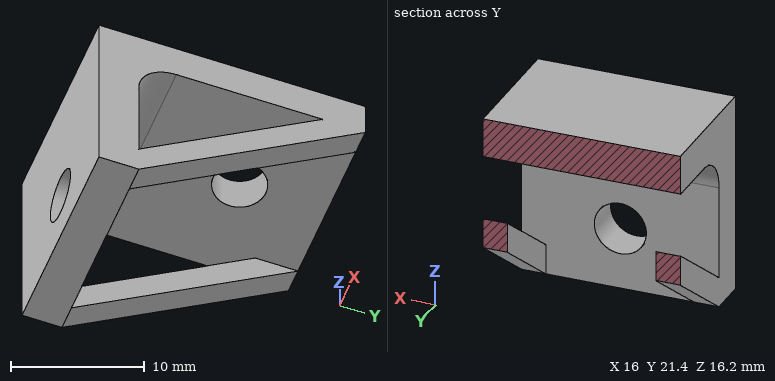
import cadquery as cq
import math

width = 16.0
depth = 21.35
height = 16.2

plate_thickness = 3.2
strut_thickness = 2.0
strut_width = 2.0
inner_corner_radius = 3.0

hole_diameter = 4.2
front_hole_height = 5.0
top_hole_setback = 7.0

plate_underside = height - plate_thickness
strut_slope = plate_underside / (depth - plate_thickness)
strut_rise = strut_thickness * math.hypot(1, strut_slope)
window_back = depth - strut_rise / strut_slope


def extrude_profile(points, length):
    """Extrude a closed (Y, Z) outline along X, centred on the bracket."""
    profile = cq.Workplane("YZ").polyline(points).close()
    return profile.extrude(length / 2, both=True)


def make_opening(points, length):
    """Triangular opening under the plates, rounded where the plates meet."""
    opening = extrude_profile(points, length)
    plate_corner = opening.faces(">Z").edges("<Y")
    return plate_corner.fillet(inner_corner_radius)


def make_body():
    """Both plates with the wedge between them filled down to the slope."""
    outline = [
        (0, 0),
        (plate_thickness, 0),
        (depth, plate_underside),
        (depth, height),
        (0, height),
    ]
    return extrude_profile(outline, width)


def make_window():
    """Opening across the full width that leaves the sloping strut."""
    outline = [
        (plate_thickness, strut_rise),
        (window_back, plate_underside),
        (plate_thickness, plate_underside),
    ]
    return make_opening(outline, width)


def make_strut_gap():
    """Opening between the side struts, down to the slope."""
    outline = [
        (plate_thickness, 0),
        (depth, plate_underside),
        (plate_thickness, plate_underside),
    ]
    return make_opening(outline, width - 2 * strut_width)


def make_front_hole():
    """Hole along Y through the front plate."""
    start = cq.Vector(0, 0, front_hole_height)
    return cq.Solid.makeCylinder(hole_diameter / 2, plate_thickness, start, cq.Vector(0, 1, 0))


def make_top_hole():
    """Hole along Z through the top plate."""
    start = cq.Vector(0, depth - top_hole_setback, plate_underside)
    return cq.Solid.makeCylinder(hole_diameter / 2, plate_thickness, start, cq.Vector(0, 0, 1))


result = (
    make_body()
    .cut(make_window())
    .cut(make_strut_gap())
    .cut(make_front_hole())
    .cut(make_top_hole())
)